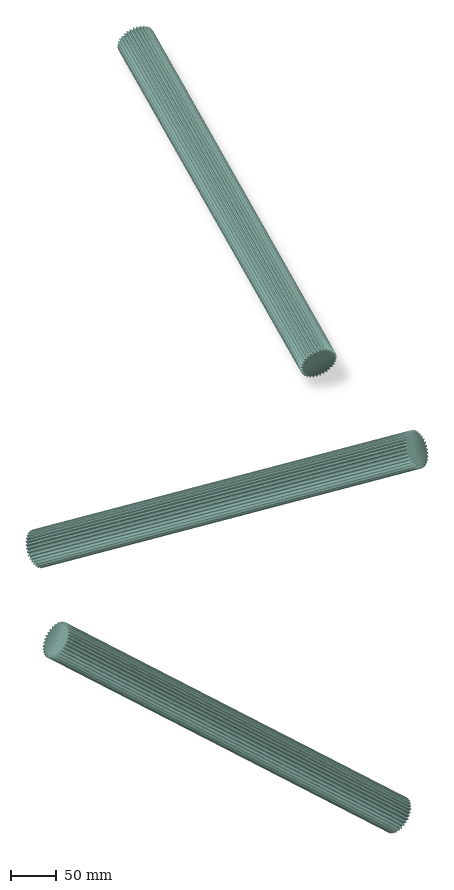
import math

import cadquery as cq

INCH = 25.4

length = 20 * INCH
tooth_count = 32
diametral_pitch = 20
dedendum_factor = 1.25

tip_half_angle = math.radians(1.0)
pitch_half_angle = math.radians(2.58)
root_half_angle = math.radians(3.75)

module = INCH / diametral_pitch
pitch_radius = module * tooth_count / 2
outer_radius = pitch_radius + module
root_radius = pitch_radius - dedendum_factor * module
tooth_pitch_angle = 2 * math.pi / tooth_count


def polar(radius, angle):
    """Point on the YZ plane, with the angle measured from +Y."""
    return (radius * math.cos(angle), radius * math.sin(angle))


def add_tooth(outline, centre):
    """Add one tooth with convex flanks, then the root land that follows it."""
    next_root_start = centre + tooth_pitch_angle - root_half_angle
    return (
        outline
        .threePointArc(
            polar(pitch_radius, centre - pitch_half_angle),
            polar(outer_radius, centre - tip_half_angle),
        )
        .threePointArc(
            polar(outer_radius, centre),
            polar(outer_radius, centre + tip_half_angle),
        )
        .threePointArc(
            polar(pitch_radius, centre + pitch_half_angle),
            polar(root_radius, centre + root_half_angle),
        )
        .threePointArc(
            polar(root_radius, centre + tooth_pitch_angle / 2),
            polar(root_radius, next_root_start),
        )
    )


def gear_outline():
    """Closed gear section, with a tooth space centred on both the Y and Z axes."""
    first_centre = tooth_pitch_angle / 2
    start = polar(root_radius, first_centre - root_half_angle)
    outline = cq.Workplane("YZ").moveTo(*start)
    for tooth in range(tooth_count):
        outline = add_tooth(outline, first_centre + tooth * tooth_pitch_angle)
    return outline.close()


result = gear_outline().extrude(length)